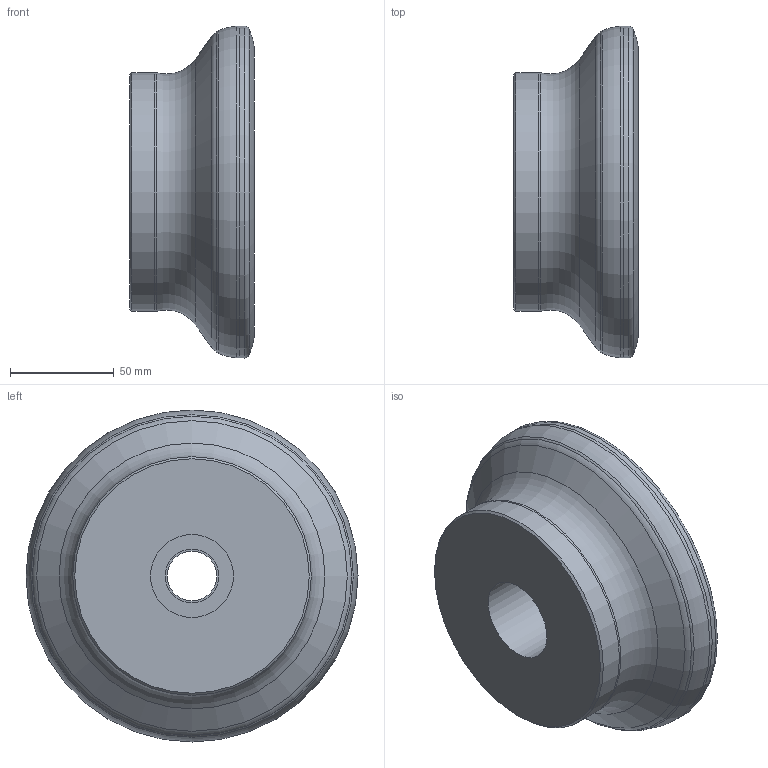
import cadquery as cq
import math


LENGTH = 60.0
RIM_RADIUS = 80.0

HUB_RADIUS = 57.5
HUB_CHAMFER = 1.0
HUB_END = 12.0

NECK_START = 13.0
WAIST_X = 17.6
WAIST_RADIUS = 56.85
NECK_ARC_RADIUS = 17.3
CONE_START = 31.65
CONE_END = 39.4

GROOVE_X = 41.7
BEAD_END = 42.7
BEAD_START_SLOPE = math.radians(50)
BEAD_END_SLOPE = math.radians(25)

CROWN_END = 51.3
CREST_START = 52.8
CREST_START_SLOPE = math.radians(3)
CREST_X = 55.2
CORNER_END = 57.6
CORNER_END_SLOPE = math.radians(-68)
BACK_FACE_RADIUS = 69.8

COUNTERBORE_RADIUS = 20.0
COUNTERBORE_DEPTH = 40.0
SEAT_RADIUS = 13.0
SEAT_DEPTH = 50.0
BORE_RADIUS = 12.0


def neck_radius(x):
    """Radius of the part on the hollow neck arc at X = x."""
    return WAIST_RADIUS + NECK_ARC_RADIUS - math.sqrt(NECK_ARC_RADIUS**2 - (x - WAIST_X) ** 2)


def rise(start_x, end_x, start_slope, end_slope):
    """Radius gained along an arc that turns from one slope to another."""
    return (end_x - start_x) * math.tan((start_slope + end_slope) / 2)


def spin(profile):
    """Close a profile and revolve it about the X axis."""
    return profile.close().revolve(360, (0, 0, 0), (1, 0, 0))


def outer_body():
    cone_start_radius = neck_radius(CONE_START)
    cone_slope = math.asin((CONE_START - WAIST_X) / NECK_ARC_RADIUS)
    cone_end_radius = cone_start_radius + rise(CONE_START, CONE_END, cone_slope, cone_slope)

    crest_start_radius = RIM_RADIUS - rise(CREST_START, CREST_X, CREST_START_SLOPE, 0)
    crown_end_radius = crest_start_radius - rise(
        CROWN_END, CREST_START, CREST_START_SLOPE, CREST_START_SLOPE
    )
    bead_end_radius = crown_end_radius - rise(BEAD_END, CROWN_END, BEAD_END_SLOPE, CREST_START_SLOPE)
    groove_radius = bead_end_radius - rise(GROOVE_X, BEAD_END, BEAD_START_SLOPE, BEAD_END_SLOPE)
    corner_end_radius = RIM_RADIUS + rise(CREST_X, CORNER_END, 0, CORNER_END_SLOPE)

    bead_arc_radius = (BEAD_END - GROOVE_X) / (math.sin(BEAD_START_SLOPE) - math.sin(BEAD_END_SLOPE))
    bead_mid_slope = (BEAD_START_SLOPE + BEAD_END_SLOPE) / 2
    bead_mid_x = GROOVE_X + bead_arc_radius * (math.sin(BEAD_START_SLOPE) - math.sin(bead_mid_slope))
    bead_mid_radius = groove_radius + rise(GROOVE_X, bead_mid_x, BEAD_START_SLOPE, bead_mid_slope)

    profile = (
        cq.Workplane("XY")
        .lineTo(0, HUB_RADIUS - HUB_CHAMFER)
        .lineTo(HUB_CHAMFER, HUB_RADIUS)
        .lineTo(HUB_END, HUB_RADIUS)
        .tangentArcPoint((NECK_START, neck_radius(NECK_START)), relative=False)
        .threePointArc((WAIST_X, WAIST_RADIUS), (CONE_START, cone_start_radius))
        .lineTo(CONE_END, cone_end_radius)
        .tangentArcPoint((GROOVE_X, groove_radius), relative=False)
        .threePointArc((bead_mid_x, bead_mid_radius), (BEAD_END, bead_end_radius))
        .tangentArcPoint((CROWN_END, crown_end_radius), relative=False)
        .lineTo(CREST_START, crest_start_radius)
        .tangentArcPoint((CREST_X, RIM_RADIUS), relative=False)
        .tangentArcPoint((CORNER_END, corner_end_radius), relative=False)
        .tangentArcPoint((LENGTH, BACK_FACE_RADIUS), relative=False)
        .lineTo(LENGTH, 0)
    )
    return spin(profile)


def stepped_bore():
    profile = (
        cq.Workplane("XY")
        .lineTo(0, COUNTERBORE_RADIUS)
        .lineTo(COUNTERBORE_DEPTH, COUNTERBORE_RADIUS)
        .lineTo(COUNTERBORE_DEPTH, SEAT_RADIUS)
        .lineTo(SEAT_DEPTH, SEAT_RADIUS)
        .lineTo(SEAT_DEPTH, BORE_RADIUS)
        .lineTo(LENGTH, BORE_RADIUS)
        .lineTo(LENGTH, 0)
    )
    return spin(profile)


result = outer_body().cut(stepped_bore())